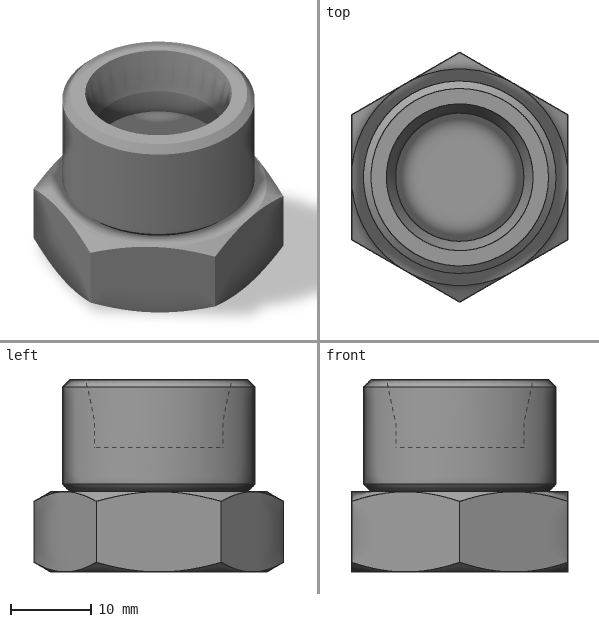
import cadquery as cq
import math

across_corners = 31.18
across_flats = across_corners * math.cos(math.radians(30))
hex_height = 10.0
hex_chamfer_angle = 30.0

total_height = 24.0
spigot_diameter = 24.0
spigot_chamfer = 0.95

mouth_diameter = 18.3
socket_diameter = 16.0
taper_half_angle = 12.0
bore_depth = 8.5


def chamfered_hexagon():
    """Hexagonal prism with its corners trimmed by a cone at both ends."""
    corner_radius = across_corners / 2
    flat_radius = across_flats / 2
    drop = (corner_radius - flat_radius) * math.tan(math.radians(hex_chamfer_angle))
    prism = (
        cq.Workplane("XY")
        .polygon(6, across_corners)
        .extrude(hex_height)
        .rotate((0, 0, 0), (0, 0, 1), 30)
    )
    margin = 0.3
    margin_drop = margin * math.tan(math.radians(hex_chamfer_angle))
    envelope_radius = corner_radius + margin
    envelope_drop = drop + margin_drop
    envelope = (
        cq.Workplane("XZ")
        .moveTo(0, 0)
        .lineTo(flat_radius, 0)
        .lineTo(envelope_radius, envelope_drop)
        .lineTo(envelope_radius, hex_height - envelope_drop)
        .lineTo(flat_radius, hex_height)
        .lineTo(0, hex_height)
        .close()
        .revolve(360, (0, 0, 0), (0, 1, 0))
    )
    return prism.intersect(envelope)


def spigot():
    """Cylinder with equal chamfers at its free end and at the hexagon."""
    return (
        cq.Workplane("XY", origin=(0, 0, hex_height))
        .circle(spigot_diameter / 2)
        .extrude(total_height - hex_height)
        .faces("<Z or >Z")
        .edges()
        .chamfer(spigot_chamfer)
    )


def bore():
    """Cutter for the tapered mouth and the flat-bottomed socket below it."""
    mouth_radius = mouth_diameter / 2
    socket_radius = socket_diameter / 2
    taper_depth = (mouth_radius - socket_radius) / math.tan(math.radians(taper_half_angle))
    floor_z = total_height - bore_depth
    return (
        cq.Workplane("XZ")
        .moveTo(0, floor_z)
        .lineTo(socket_radius, floor_z)
        .lineTo(socket_radius, total_height - taper_depth)
        .lineTo(mouth_radius, total_height)
        .lineTo(0, total_height)
        .close()
        .revolve(360, (0, 0, 0), (0, 1, 0))
    )


result = chamfered_hexagon().union(spigot()).cut(bore())